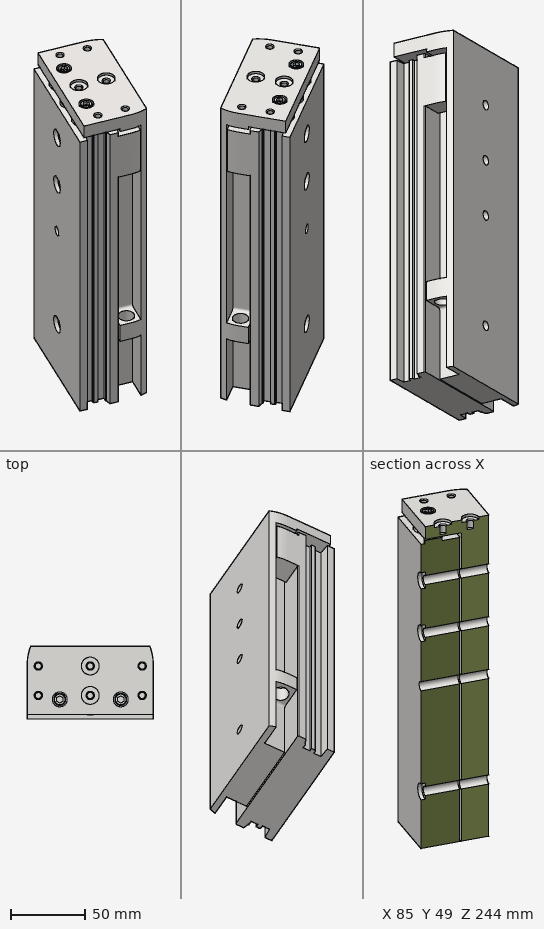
import cadquery as cq

WIDTH = 85.0
DEPTH = 49.0
HEIGHT = 244.0
HALF_WIDTH = WIDTH / 2

END_PLATE_THICKNESS = 10.0
END_PLATE_FRONT = 3.0
PAD_THICKNESS = 12.2
RIB_FRONT = 29.0
BACK_PLATE_THICKNESS = 4.6
BACK_PLATE_FRONT = DEPTH - BACK_PLATE_THICKNESS
RIB_HALF_WIDTH = 25.9
POCKET_FILLET = 2.0
LUG_BOTTOM = 51.5
LUG_TOP = 65.1

CORNER_INSET = 2.5
CORNER_START_Y = 36.4

LUG_BORE_DIAMETER = 11.0
TAP_DIAMETER = 4.1
TAP_MOUTH_DIAMETER = 5.5
TAP_DEPTH = 8.0
TAP_X = 35.0
TAP_ROWS_Y = (15.9, 35.6)
TAP_COUNTERBORE_DIAMETER = 12.0
TAP_COUNTERBORE_DEPTH = 2.0
SCREW_POINTS = ((-20.5, 13.2), (20.5, 13.2))
SCREW_RECESS_DIAMETER = 10.0
SCREW_HEAD_DIAMETER = 8.0
SCREW_HEAD_CHAMFER = 0.5
SCREW_RECESS_DEPTH = 4.1
SOCKET_ACROSS_FLATS = 4.1
SOCKET_DEPTH = 2.5
ROD_DIAMETER = 11.0

HOUSING_HEIGHT = 231.0
HOUSING_BACK = 28.0
HOUSING_CHAMFER = 0.7
ROD_BORE_DIAMETER = 20.0
ROD_BORE_DEPTH = 2.0
BLOCK_CLEARANCE = 0.5
BLOCK_BOTTOM = 193.0
BLOCK_TOP = 228.1
STOP_DIAMETER = 13.0
STOP_Y = 9.0
STOP_HEIGHT = 2.5

FLANGE_THICKNESS = 5.4
GUIDE_FLOOR_X = 35.0
GUIDE_NEAR_Y = 6.0
LAND_X = 37.5
LAND_NEAR_Y = 11.5
LAND_CHAMFER = 0.7
LAND_FAR_Y = 15.0
SLOT_FLOOR_X = 35.5
LIP_X = 38.5
LIP_NEAR_Y = 20.0
LIP_FAR_Y = 20.5
RAIL_NEAR_Y = 21.7

MOUNT_DIAMETER = 6.5
MOUNT_COUNTERBORE_DIAMETER = 12.0
MOUNT_COUNTERBORE_DEPTH = 3.0
PLAIN_HOLE_Z = 123.2
COUNTERBORED_HOLES_Z = (43.2, 163.2, 203.3)


def box(x_min, x_max, y_min, y_max, z_min, z_max):
    """Box between two corners."""
    return (
        cq.Workplane("XY")
        .box(x_max - x_min, y_max - y_min, z_max - z_min, centered=False)
        .translate((x_min, y_min, z_min))
    )


def pins(points, diameter, z_min, z_max):
    """Upright cylinders at the given (x, y) points."""
    return (
        cq.Workplane("XY", origin=(0, 0, z_min))
        .pushPoints(points)
        .circle(diameter / 2)
        .extrude(z_max - z_min)
    )


def rounded_rear_outline(y_min, z_min, z_max):
    """Full-width prism whose sides run tangentially into a long arc at each rear corner."""
    rear_x = HALF_WIDTH - CORNER_INSET
    corner_length = DEPTH - CORNER_START_Y
    corner_radius = (corner_length**2 + CORNER_INSET**2) / (2 * CORNER_INSET)
    return (
        cq.Workplane("XY", origin=(0, 0, z_min))
        .moveTo(-HALF_WIDTH, y_min)
        .lineTo(HALF_WIDTH, y_min)
        .lineTo(HALF_WIDTH, CORNER_START_Y)
        .radiusArc((rear_x, DEPTH), -corner_radius)
        .lineTo(-rear_x, DEPTH)
        .radiusArc((-HALF_WIDTH, CORNER_START_Y), -corner_radius)
        .close()
        .extrude(z_max - z_min)
    )


def mounting_holes():
    """Horizontal holes through the full depth on the centre line."""
    points = [(0, z) for z in (PLAIN_HOLE_Z, *COUNTERBORED_HOLES_Z)]
    return cq.Workplane("XZ").pushPoints(points).circle(MOUNT_DIAMETER / 2).extrude(-DEPTH)


def side_pocket(z_min, z_max, rounded_edges):
    """Pocket beside the right face of the rib, rounded where it meets its end walls."""
    pocket = box(RIB_HALF_WIDTH, WIDTH, 0, BACK_PLATE_FRONT, z_min, z_max)
    return pocket.edges("<X").edges(rounded_edges).fillet(POCKET_FILLET)


def tapped_holes():
    """Tapped holes of the end plate with a wider mouth; the middle pair is counterbored."""
    side_points = [(x, y) for x in (-TAP_X, TAP_X) for y in TAP_ROWS_Y]
    middle_points = [(0, y) for y in TAP_ROWS_Y]
    mouth_depth = (TAP_MOUTH_DIAMETER - TAP_DIAMETER) / 2
    holes = pins(middle_points, TAP_COUNTERBORE_DIAMETER, HEIGHT - TAP_COUNTERBORE_DEPTH, HEIGHT)
    for points, mouth_z in ((side_points, HEIGHT), (middle_points, HEIGHT - TAP_COUNTERBORE_DEPTH)):
        holes = holes.union(pins(points, TAP_DIAMETER, HEIGHT - TAP_DEPTH, mouth_z))
        for x, y in points:
            mouth = cq.Solid.makeCone(
                TAP_DIAMETER / 2, TAP_MOUTH_DIAMETER / 2, mouth_depth, cq.Vector(x, y, mouth_z - mouth_depth)
            )
            holes = holes.union(cq.Workplane(mouth))
    return holes


def screw_recesses():
    """Ring-shaped recess around each screw head plus the hexagon socket in the head."""
    floor_z = HEIGHT - SCREW_RECESS_DEPTH
    heads = pins(SCREW_POINTS, SCREW_HEAD_DIAMETER, floor_z, HEIGHT).faces(">Z").chamfer(SCREW_HEAD_CHAMFER)
    rings = pins(SCREW_POINTS, SCREW_RECESS_DIAMETER, floor_z, HEIGHT).cut(heads)
    sockets = (
        cq.Workplane("XY", origin=(0, 0, HEIGHT))
        .pushPoints(SCREW_POINTS)
        .polygon(6, SOCKET_ACROSS_FLATS, circumscribed=True)
        .extrude(-SOCKET_DEPTH)
    )
    return rings.union(sockets)


def make_slide():
    """End plate, back plate, central rib and side lugs in one piece."""
    plate_bottom = HEIGHT - END_PLATE_THICKNESS
    pad_bottom = HEIGHT - PAD_THICKNESS
    slide = rounded_rear_outline(RIB_FRONT, 0, HEIGHT).union(
        rounded_rear_outline(END_PLATE_FRONT, plate_bottom, HEIGHT)
    )

    upper_pocket = side_pocket(LUG_TOP, pad_bottom, "|Y")
    lower_pocket = side_pocket(-HEIGHT, LUG_BOTTOM, ">Z")
    for pocket in (upper_pocket, lower_pocket):
        slide = slide.cut(pocket).cut(pocket.mirror("YZ"))

    bore_x = (RIB_HALF_WIDTH + HALF_WIDTH) / 2
    bore_y = (RIB_FRONT + BACK_PLATE_FRONT) / 2
    bore_points = [(-bore_x, bore_y), (bore_x, bore_y)]
    slide = slide.cut(pins(bore_points, LUG_BORE_DIAMETER, LUG_BOTTOM, LUG_TOP))

    slide = slide.union(pins(SCREW_POINTS, ROD_DIAMETER, HOUSING_HEIGHT - ROD_BORE_DEPTH, plate_bottom))
    return slide.cut(screw_recesses()).cut(tapped_holes()).cut(mounting_holes())


def housing_profile():
    """Extruded cross-section with a guide groove and a sensor slot along each side."""
    right_side = [
        (HALF_WIDTH, 0),
        (HALF_WIDTH, FLANGE_THICKNESS),
        (GUIDE_FLOOR_X, GUIDE_NEAR_Y),
        (GUIDE_FLOOR_X, LAND_NEAR_Y),
        (LAND_X - LAND_CHAMFER, LAND_NEAR_Y),
        (LAND_X, LAND_NEAR_Y + LAND_CHAMFER),
        (LAND_X, LAND_FAR_Y),
        (SLOT_FLOOR_X, LAND_FAR_Y),
        (SLOT_FLOOR_X, LIP_NEAR_Y),
        (LIP_X, LIP_NEAR_Y),
        (LIP_X, LIP_FAR_Y),
        (HALF_WIDTH, RAIL_NEAR_Y),
        (HALF_WIDTH, HOUSING_BACK - HOUSING_CHAMFER),
        (HALF_WIDTH - HOUSING_CHAMFER, HOUSING_BACK),
    ]
    left_side = [(-x, y) for x, y in reversed(right_side)]
    return cq.Workplane("XY").polyline(right_side + left_side).close().extrude(HOUSING_HEIGHT)


def housing_blocks():
    """Pair of blocks that stand behind the housing, inside the upper pockets of the slide."""
    inner_x = RIB_HALF_WIDTH + BLOCK_CLEARANCE
    back_y = BACK_PLATE_FRONT - BLOCK_CLEARANCE
    front_y = HOUSING_BACK - HOUSING_CHAMFER
    outline = rounded_rear_outline(front_y, BLOCK_BOTTOM, BLOCK_TOP)
    right_half = box(inner_x, HALF_WIDTH, front_y, back_y, BLOCK_BOTTOM, BLOCK_TOP)
    return outline.intersect(right_half.union(right_half.mirror("YZ")))


def make_housing():
    """Grooved body with two rear blocks, a stop and two rod bores on top, and mounting holes."""
    housing = housing_profile().union(housing_blocks())
    housing = housing.union(pins([(0, STOP_Y)], STOP_DIAMETER, HOUSING_HEIGHT, HOUSING_HEIGHT + STOP_HEIGHT))
    housing = housing.cut(
        pins(SCREW_POINTS, ROD_BORE_DIAMETER, HOUSING_HEIGHT - ROD_BORE_DEPTH, HOUSING_HEIGHT)
    )
    counterbores = (
        cq.Workplane("XZ")
        .pushPoints([(0, z) for z in COUNTERBORED_HOLES_Z])
        .circle(MOUNT_COUNTERBORE_DIAMETER / 2)
        .extrude(-MOUNT_COUNTERBORE_DEPTH)
    )
    return housing.cut(mounting_holes()).cut(counterbores)


slide = make_slide()
housing = make_housing()
result = cq.Compound.makeCompound([slide.val(), housing.val()])